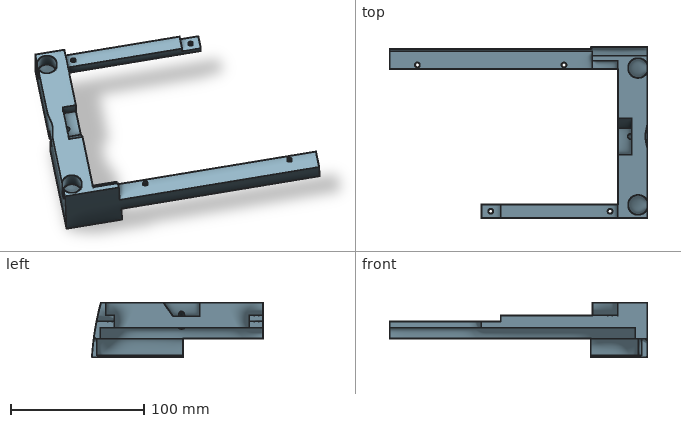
import cadquery as cq
import math


total_length = 193.57
total_height = 41.1
skirt_height = 14.0
underside_z = 22.2
low_arm_z = 27.0
high_arm_z = 31.5

rear_top_y = 121.8
rear_low_arm_y = 125.1
rear_bottom_y = 128.59

beam_front_x = 171.3
lower_beam_x = 184.4
leg_inner_y = 122.1

rear_arm_y = 111.8
leg_round = 1.8
rear_block_x = 152.3
rear_wall_y = 118.2

front_arm_x = 69.0
front_step_x = 83.3
front_arm_width = 10.35

skirt_start_x = 151.0
skirt_inner_y = 124.9
skirt_front_y = 60.0
skirt_inner_x_rear = 186.6
skirt_inner_x_front = 189.1
skirt_round = 0.9
lip_width = 1.8
lip_edge_height = 0.4
lip_height = 1.6
cavity_overrun = 1.0

socket_diameter = 15.0
socket_depth = 15.0
socket_x = 186.5
socket_front_y = 9.9
socket_rear_y = 112.6
middle_y = (socket_front_y + socket_rear_y) / 2

pocket_x = 181.6
pocket_floor_z = 30.9
pocket_front_y = 47.6
pocket_floor_rear_y = 67.6
pocket_top_rear_y = 74.9

slant_diameter = 4.5
slant_counterbore = 10.0
slant_angle = 45.0
slant_near_x = 178.8
slant_seat_distance = 8.0
slant_length = 30.0

scallop_width = 24.0
scallop_depth = 1.7
scallop_lean = 13.0
scallop_length = 12.0

screw_diameter = 3.5
rear_screw_y = 114.9
rear_screw_x = (20.9, 130.9)
front_screw_y = 5.1
front_screw_x = (75.9, 165.5)


def box(x0, x1, y0, y1, z0, z1):
    """Box between two opposite corners."""
    return cq.Workplane("XY").box(x1 - x0, y1 - y0, z1 - z0, centered=False).translate((x0, y0, z0))


def make_rear_envelope():
    """Solid that fills everything in front of the curved rear side."""
    return (
        cq.Workplane("YZ")
        .lineTo(rear_bottom_y, 0)
        .threePointArc((rear_low_arm_y, low_arm_z), (rear_top_y, total_height))
        .lineTo(0, total_height)
        .close()
        .extrude(total_length)
    )


rear_envelope = make_rear_envelope()


def rear_block(x0, x1, y0, z0, z1):
    """Block from y0 back to the curved rear side."""
    return box(x0, x1, y0, rear_bottom_y, z0, z1).intersect(rear_envelope)


def make_beam():
    upper = rear_block(beam_front_x, total_length, 0, underside_z, total_height)
    lower = rear_block(lower_beam_x, total_length, 0, skirt_height, underside_z)
    return upper.union(lower)


def make_rear_arm():
    flange = rear_block(0, beam_front_x, rear_arm_y, underside_z, low_arm_z)
    leg = rear_block(0, skirt_start_x, leg_inner_y, skirt_height, underside_z)
    leg = leg.faces("<Z").edges(">Y").fillet(leg_round)
    leg_end = rear_block(skirt_start_x, lower_beam_x, leg_inner_y, skirt_height, underside_z)
    shelf = rear_block(rear_block_x, beam_front_x, rear_arm_y, low_arm_z, high_arm_z)
    wall = rear_block(rear_block_x, beam_front_x, rear_wall_y, high_arm_z, total_height)
    return flange.union(leg).union(leg_end).union(shelf).union(wall)


def make_front_arm():
    base = box(front_arm_x, beam_front_x, 0, front_arm_width, underside_z, low_arm_z)
    raised = box(front_step_x, beam_front_x, 0, front_arm_width, low_arm_z, high_arm_z)
    return base.union(raised)


def skirt_cavity(inset, z):
    """Wire at height z around the room inside the skirt, shrunk by inset and overrunning its open ends."""
    taper = (skirt_inner_x_front - skirt_inner_x_rear) / (skirt_inner_y - skirt_front_y)
    open_x = skirt_start_x - cavity_overrun
    open_y = skirt_front_y - cavity_overrun
    outline = [
        cq.Vector(open_x, open_y, z),
        cq.Vector(skirt_inner_x_front + taper * cavity_overrun - inset, open_y, z),
        cq.Vector(skirt_inner_x_rear - inset, skirt_inner_y - inset, z),
        cq.Vector(open_x, skirt_inner_y - inset, z),
    ]
    return cq.Wire.makePolygon(outline, close=True)


def prism(wire, height):
    """Upright solid over a flat wire."""
    return cq.Workplane(cq.Solid.extrudeLinear(wire, [], cq.Vector(0, 0, height)))


def make_skirt():
    """L-shaped wall with rounded outer edges and a small sloping lip inside its bottom edge."""
    block = rear_block(skirt_start_x, total_length, skirt_front_y, 0, skirt_height)
    rear_end = block.faces("<X").edges(">Y")
    front_end = block.faces("<Y").edges(">X")
    bottom_rear = block.faces("<Z").edges(">Y")
    bottom_side = block.faces("<Z").edges(">X")
    edges = rear_end.add(front_end).add(bottom_rear).add(bottom_side)
    block = block.newObject(edges.vals()).fillet(skirt_round)
    lip_top = skirt_cavity(0, lip_height)
    lip_edge = skirt_cavity(lip_width, lip_edge_height)
    upper_room = prism(lip_top, skirt_height - lip_height)
    slope_room = cq.Workplane(cq.Solid.makeLoft([lip_edge, lip_top], True))
    lip_room = prism(skirt_cavity(lip_width, 0), lip_edge_height)
    return block.cut(upper_room).cut(slope_room).cut(lip_room)


def make_sockets():
    centres = [(socket_x, socket_front_y), (socket_x, socket_rear_y)]
    top = cq.Workplane("XY").workplane(offset=total_height)
    return top.pushPoints(centres).circle(socket_diameter / 2).extrude(-socket_depth)


def make_pocket():
    outline = [
        (pocket_front_y, pocket_floor_z),
        (pocket_floor_rear_y, pocket_floor_z),
        (pocket_top_rear_y, total_height),
        (pocket_front_y, total_height),
    ]
    depth = pocket_x - beam_front_x
    return cq.Workplane("YZ").polyline(outline).close().extrude(depth).translate((beam_front_x, 0, 0))


def leaning_down(degrees):
    """Direction pointing down and tilted from the vertical toward +X."""
    angle = math.radians(degrees)
    return cq.Vector(math.sin(angle), 0, -math.cos(angle))


def make_slant_hole():
    direction = leaning_down(slant_angle)
    radius = slant_diameter / 2
    axis_x = slant_near_x + radius / math.cos(math.radians(slant_angle))
    on_floor = cq.Vector(axis_x, middle_y, pocket_floor_z)
    reach_up = slant_diameter
    bore_start = on_floor - direction * reach_up
    bore = cq.Solid.makeCylinder(radius, reach_up + slant_length, bore_start, direction)
    seat = on_floor + direction * slant_seat_distance
    head_length = slant_length - slant_seat_distance
    head = cq.Solid.makeCylinder(slant_counterbore / 2, head_length, seat, direction)
    return cq.Workplane(bore).union(cq.Workplane(head))


def make_scallop():
    """Smooth wave in the +X side, swept down along a leaning direction so that it runs out."""
    half_width = scallop_width / 2
    along_side = cq.Vector(0, 1, 0)
    points = [
        cq.Vector(total_length, middle_y - half_width, total_height),
        cq.Vector(total_length - scallop_depth, middle_y, total_height),
        cq.Vector(total_length, middle_y + half_width, total_height),
    ]
    wave = cq.Edge.makeSpline(points, tangents=[along_side, along_side, along_side])
    side = cq.Edge.makeLine(points[-1], points[0])
    profile = cq.Wire.assembleEdges([wave, side])
    sweep = leaning_down(scallop_lean) * scallop_length
    return cq.Workplane(cq.Solid.extrudeLinear(profile, [], sweep))


def make_screw_holes():
    centres = [(x, rear_screw_y) for x in rear_screw_x] + [(x, front_screw_y) for x in front_screw_x]
    return cq.Workplane("XY").pushPoints(centres).circle(screw_diameter / 2).extrude(total_height)


result = make_beam().union(make_rear_arm()).union(make_front_arm()).union(make_skirt())
for cutter in (make_sockets(), make_pocket(), make_slant_hole(), make_scallop(), make_screw_holes()):
    result = result.cut(cutter)